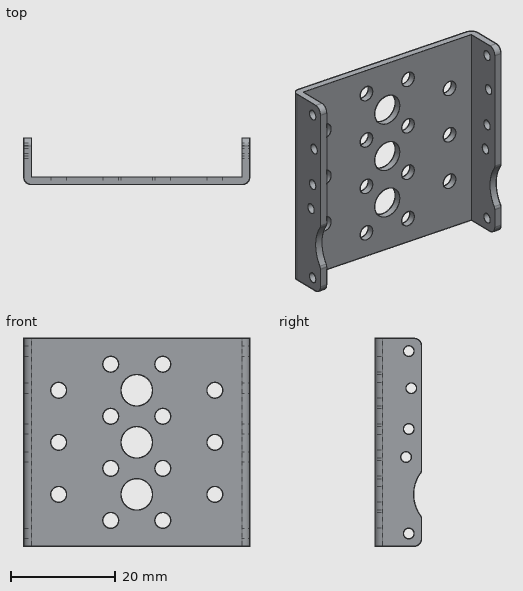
import cadquery as cq

width = 43.5
depth = 9.0
height = 40.0
thickness = 1.52
bend_radius = thickness
corner_radius = 1.52

pitch = 10.0
large_hole_diameter = 6.0
small_hole_diameter = 3.0

flange_hole_diameter = 2.0
end_margin = 2.5
flange_holes = [
    (end_margin, end_margin),
    (3.0, 17.2),
    (end_margin, 22.58),
    (2.0, 30.4),
    (end_margin, height - end_margin),
]

notch_height = 10.0
notch_depth = 1.52
notch_radius = 7.0
shoulder_radius = 1.0


def make_channel():
    outer = (
        cq.Workplane("XY")
        .box(width, depth, height, centered=(True, False, False))
        .edges("|Z and <Y")
        .fillet(bend_radius)
        .edges("|X and >Y")
        .fillet(corner_radius)
    )
    inside = (
        cq.Workplane("XY")
        .box(width - 2 * thickness, depth, height, centered=(True, False, False))
        .translate((0, thickness, 0))
    )
    return outer.cut(inside)


def web_holes(points, diameter):
    return (
        cq.Workplane("XZ", origin=(0, 0, height / 2))
        .pushPoints(points)
        .circle(diameter / 2)
        .extrude(-depth)
    )


def make_flange_holes():
    points = [(depth - edge, z) for edge, z in flange_holes]
    return (
        cq.Workplane("YZ")
        .pushPoints(points)
        .circle(flange_hole_diameter / 2)
        .extrude(width / 2, both=True)
    )


def make_notch():
    reach = notch_radius + shoulder_radius
    arc_center_y = depth - notch_depth + notch_radius
    shoulder_center_y = depth - shoulder_radius
    rise = arc_center_y - shoulder_center_y
    half_length = (reach**2 - rise**2) ** 0.5
    blend = shoulder_radius / reach
    touch_y = shoulder_center_y + blend * rise
    touch_z = half_length * (1 - blend)
    bisector_y = 1 + rise / reach
    bisector_z = half_length / reach
    bisector_length = (bisector_y**2 + bisector_z**2) ** 0.5
    middle_y = shoulder_center_y + shoulder_radius * bisector_y / bisector_length
    middle_z = half_length - shoulder_radius * bisector_z / bisector_length
    return (
        cq.Workplane("YZ", origin=(0, 0, notch_height))
        .moveTo(depth, -half_length)
        .threePointArc((middle_y, -middle_z), (touch_y, -touch_z))
        .threePointArc((depth - notch_depth, 0), (touch_y, touch_z))
        .threePointArc((middle_y, middle_z), (depth, half_length))
        .close()
        .extrude(width / 2, both=True)
    )


center_points = [(0, row * pitch) for row in (-1, 0, 1)]
inner_points = [
    (side * pitch / 2, row * pitch)
    for side in (-1, 1)
    for row in (-1.5, -0.5, 0.5, 1.5)
]
outer_points = [(side * 1.5 * pitch, row * pitch) for side in (-1, 1) for row in (-1, 0, 1)]

result = (
    make_channel()
    .cut(web_holes(center_points, large_hole_diameter))
    .cut(web_holes(inner_points + outer_points, small_hole_diameter))
    .cut(make_flange_holes())
    .cut(make_notch())
)